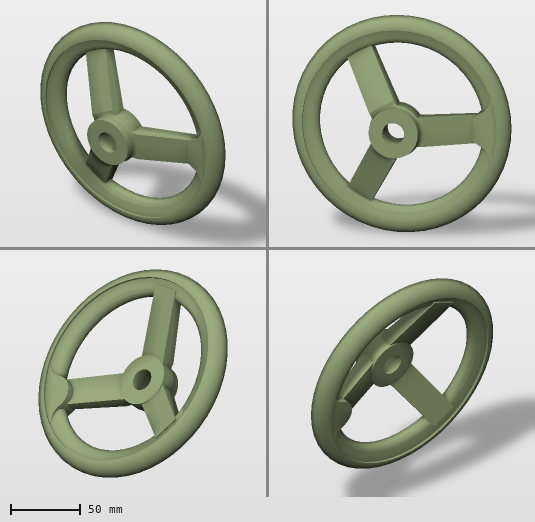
import cadquery as cq
import math

depth = 40.0

rim_radius = 80.0
rim_width = 18.0
rim_shoulder_radius = 71.0
rim_step = 1.8
rim_tip_radius = 60.0
rim_tip_round = 5.6
rim_mid = depth - rim_width / 2
rim_step_half = rim_width / 2 - rim_step

bore_diameter = 16.0
collar_diameter = 36.0
collar_length = 5.5
barrel_radius = 19.0
barrel_back = 19.5
flare_round = 2.4
flare_radius = collar_diameter / 2 + flare_round
flare_back = collar_length + flare_round

spoke_count = 3
spoke_start = 12.8
spoke_end = 65.6
spoke_half_width_inner = 10.5
spoke_half_width_outer = 9.9
spoke_front_slope = 0.48
spoke_back_slope = 0.4

boss_radius = 13.1
boss_offset = 64.0
boss_blend = 12.8
boss_overlap = 0.2
boss_half_length = rim_step_half + boss_overlap
boss_front = rim_mid - boss_half_length
boss_outer_radius = 73.6


def y_cylinder(radius, start, end):
    """Cylinder about the Y axis between two Y positions."""
    return cq.Workplane("XZ", origin=(0, start, 0)).circle(radius).extrude(start - end)


def revolve_about_y(profile):
    return profile.revolve(360, (0, 0, 0), (0, 1, 0))


def make_rim():
    """Half-round outer rim narrowing inward along two cones to a rounded tip."""
    tip_centre = rim_tip_radius + rim_tip_round
    run = rim_shoulder_radius - tip_centre
    shoulder_distance = math.hypot(run, rim_step_half)
    shoulder_angle = math.atan2(rim_step_half, run)
    tangent_angle = shoulder_angle + math.acos(rim_tip_round / shoulder_distance)
    tangent_radius = tip_centre + rim_tip_round * math.cos(tangent_angle)
    tangent_rise = rim_tip_round * math.sin(tangent_angle)
    half_width = rim_width / 2
    profile = (
        cq.Workplane("XY")
        .moveTo(rim_shoulder_radius, rim_mid - half_width)
        .threePointArc((rim_radius, rim_mid), (rim_shoulder_radius, rim_mid + half_width))
        .lineTo(rim_shoulder_radius, rim_mid + rim_step_half)
        .lineTo(tangent_radius, rim_mid + tangent_rise)
        .threePointArc((rim_tip_radius, rim_mid), (tangent_radius, rim_mid - tangent_rise))
        .lineTo(rim_shoulder_radius, rim_mid - rim_step_half)
        .close()
    )
    return revolve_about_y(profile)


def make_flare():
    """Disc behind the collar whose edge sweeps outward in a concave quarter round."""
    diagonal = flare_round * math.sqrt(0.5)
    profile = (
        cq.Workplane("XY")
        .moveTo(0, collar_length)
        .lineTo(collar_diameter / 2, collar_length)
        .threePointArc((flare_radius - diagonal, collar_length + diagonal), (flare_radius, flare_back))
        .lineTo(0, flare_back)
        .close()
    )
    return revolve_about_y(profile)


def spoke_plan():
    """Tapering spoke outline as seen along Y, through the full depth."""
    outline = [
        (spoke_start, -spoke_half_width_inner),
        (spoke_end, -spoke_half_width_outer),
        (spoke_end, spoke_half_width_outer),
        (spoke_start, spoke_half_width_inner),
    ]
    return cq.Workplane("XZ").polyline(outline).close().extrude(-depth)


def make_spoke():
    """Spoke on +X, leaning back from the hub and thinning towards the rim."""
    front_end = flare_back + spoke_front_slope * (spoke_end - flare_radius)
    back_end = barrel_back + spoke_back_slope * (spoke_end - barrel_radius)
    spoke_root_back = barrel_back + spoke_back_slope * (spoke_start - barrel_radius)
    side_outline = [
        (spoke_start, flare_back),
        (flare_radius, flare_back),
        (spoke_end, front_end),
        (spoke_end, back_end),
        (spoke_start, spoke_root_back),
    ]
    side = (
        cq.Workplane("XY", origin=(0, 0, -rim_radius))
        .polyline(side_outline)
        .close()
        .extrude(2 * rim_radius)
    )
    flare_sector = make_flare().intersect(spoke_plan())
    return spoke_plan().intersect(side).union(flare_sector)


def make_hub():
    """Front collar, rounded flare and plain barrel."""
    collar = y_cylinder(collar_diameter / 2, 0, flare_back)
    barrel = y_cylinder(barrel_radius, flare_back, barrel_back)
    flare = make_flare().intersect(y_cylinder(barrel_radius, 0, flare_back))
    return collar.union(flare).union(barrel)


def make_boss():
    """Round handle boss blended into the shoulder circle of the rim."""
    rim_join_radius = rim_shoulder_radius + boss_overlap
    blend_distance = rim_join_radius - boss_blend
    centre_distance = boss_radius + boss_blend
    blend_x = (blend_distance**2 - centre_distance**2 + boss_offset**2) / (2 * boss_offset)
    blend_z = math.sqrt(blend_distance**2 - blend_x**2)
    rim_x = blend_x * rim_join_radius / blend_distance
    rim_z = blend_z * rim_join_radius / blend_distance
    join_x = boss_offset + (blend_x - boss_offset) * boss_radius / centre_distance
    join_z = blend_z * boss_radius / centre_distance
    rim_angle = math.atan2(rim_z, rim_x)
    join_angle = math.atan2(join_z - blend_z, join_x - blend_x)
    mid_angle = (rim_angle + join_angle) / 2
    mid_x = blend_x + boss_blend * math.cos(mid_angle)
    mid_z = blend_z + boss_blend * math.sin(mid_angle)
    return (
        cq.Workplane("XZ", origin=(0, boss_front, 0))
        .moveTo(rim_x, -rim_z)
        .threePointArc((boss_outer_radius, 0), (rim_x, rim_z))
        .threePointArc((mid_x, mid_z), (join_x, join_z))
        .threePointArc((boss_offset - boss_radius, 0), (join_x, -join_z))
        .threePointArc((mid_x, -mid_z), (rim_x, -rim_z))
        .close()
        .extrude(-2 * boss_half_length)
    )


spoke = make_spoke()
result = make_hub().union(make_rim()).union(make_boss())
for index in range(spoke_count):
    turn = 360 / spoke_count * index
    result = result.union(spoke.rotate((0, 0, 0), (0, 1, 0), turn))
result = result.cut(y_cylinder(bore_diameter / 2, 0, depth))